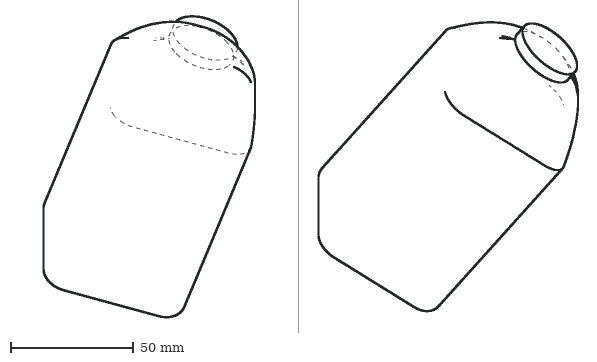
import cadquery as cq
import math


body_width = 61.0
body_length = 90.0
corner_radius = 10.0
base_fillet = 5.0

neck_radius = 14.0
neck_length = 5.0

shoulder_length = 26.0
section_count = 7
corner_easing = 8.0
underside_bulge = 1.1
neck_flat = 0.1

half_width = body_width / 2
shoulder_end = body_length + shoulder_length
shoulder_drop = half_width - neck_radius
arch_radius = (shoulder_length**2 + shoulder_drop**2) / (2 * shoulder_drop)


def arched_reach(distance):
    """Distance from the axis to the top and side profile, an arc tangent to the body."""
    return half_width - arch_radius + math.sqrt(arch_radius**2 - distance**2)


def underside_reach(distance):
    """Distance from the axis to the flatter underside profile, a slightly bulged slope."""
    fraction = distance / shoulder_length
    slope_length = math.hypot(shoulder_length, shoulder_drop)
    bulge = underside_bulge * slope_length / shoulder_length
    return half_width - shoulder_drop * fraction + 4 * bulge * fraction * (1 - fraction)


def section_corner_radius(distance):
    """Corner radius of a shoulder section, growing from the body corner to the round neck."""
    fraction = distance / shoulder_length
    neck_corner = neck_radius - neck_flat / 2
    blend = corner_radius + (neck_corner - corner_radius) * fraction
    return blend + 4 * corner_easing * fraction * (1 - fraction)


def section_sketch(distance):
    """Rounded rectangle in the XZ plane for the shoulder at a distance from the body."""
    reach = arched_reach(distance)
    underside = underside_reach(distance)
    outline = (
        cq.Sketch()
        .rect(2 * reach, reach + underside)
        .vertices()
        .fillet(section_corner_radius(distance))
        .reset()
    )
    center_z = (reach - underside) / 2
    return outline.moved(cq.Location(cq.Vector(0, center_z, -distance)))


def make_body():
    return (
        cq.Workplane("XZ")
        .rect(body_width, body_width)
        .extrude(-body_length)
        .edges("|Y")
        .fillet(corner_radius)
        .faces("<Y")
        .edges()
        .fillet(base_fillet)
    )


def make_shoulder():
    step = shoulder_length / (section_count - 1)
    sections = [section_sketch(step * index) for index in range(section_count)]
    return cq.Workplane("XZ", origin=(0, body_length, 0)).placeSketch(*sections).loft()


def make_neck():
    return cq.Workplane("XZ", origin=(0, shoulder_end, 0)).circle(neck_radius).extrude(-neck_length)


result = make_body().union(make_shoulder()).union(make_neck())